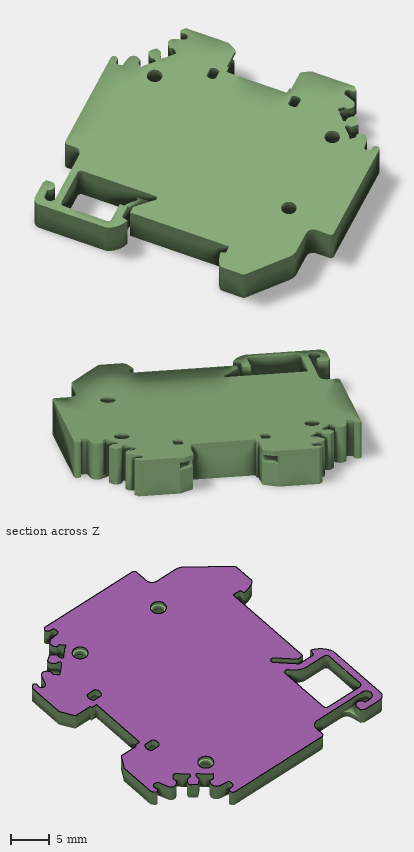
import cadquery as cq
import math

width = 38.0
height = 34.0
thickness = 5.0
half_width = width / 2

shoulder_y = 10.45
shoulder_corner = 0.25
tower_notch_y = 29.53
notch_step_y = 30.32
notch_half_width = 4.3
notch_step = 0.25
lobe_bevel_x = 1.3
lobe_bevel_y = 0.75
lobe_wall_x = notch_half_width + notch_step
lobe_lower_setback = 0.38
pocket_bottom_y = 32.25
pocket_floor_z = 3.23
pocket_top_z = 4.35

foot_half_width = 15.7
neck_left_x = -16.45
flare_radius = 1.0
rail_y = 3.5
rail_left_x = -6.65
rail_right_x = 7.37
catch_y = 2.4

clip_corner = 1.0
hook_slot_radius = 0.75
hook_slot_center_y = 1.8
hook_tip_radius = 0.7
hook_tip_center_y = 3.35
arm_inner_x = -8.45
arm_outer_x = -7.35
arm_step_y = 4.2
gap_radius = 0.36
gap_end_x = -4.7
gap_end_y = 6.9
window_left_x = -15.5
window_bottom_y = 1.03
window_top_y = 7.25
window_corner = 0.5
arm_web_top_z = 3.42
hook_web_thickness = 0.9

hole_diameter = 2.0
hole_depth = 3.8
hole_bottom_diameter = 1.55
hole_step_depth = 3.05
hole_centers = [(-12.58, 25.25), (12.58, 25.25), (12.0, 12.35)]
slot_x = 5.78
slot_y = 28.6
slot_width = 1.3
slot_length = 1.8
slot_depth = 3.8
ledge_thickness = 0.23

diagonal = math.sqrt(0.5)


def mirrored_pair(left_solid):
    """Join a left-hand solid with its mirror image about X = 0."""
    return left_solid.union(left_solid.mirror("YZ"))


def make_head():
    """Wide upper body with marker teeth on both sloping shoulders."""
    left = (
        cq.Workplane("XY")
        .moveTo(0, shoulder_y)
        .lineTo(-half_width + shoulder_corner, shoulder_y)
        .lineTo(-half_width, shoulder_y + shoulder_corner)
        .lineTo(-half_width, 25.73)
        .threePointArc((-18.5, 26.2), (-18.05, 25.8))
        .lineTo(-18.05, 25.42)
        .tangentArcPoint((-17.75, 25.08), relative=False)
        .lineTo(-17.35, 25.08)
        .tangentArcPoint((-17.05, 25.45), relative=False)
        .lineTo(-16.9, 26.52)
        .threePointArc((-16.25, 27.2), (-15.55, 27.05))
        .lineTo(-14.5, 26.25)
        .lineTo(-13.35, 27.47)
        .threePointArc((-13.75, 27.75), (-14.2, 27.7))
        .lineTo(-14.75, 28.27)
        .threePointArc((-14.85, 28.5), (-14.75, 28.75))
        .lineTo(-14.33, 29.35)
        .threePointArc((-14.15, 29.45), (-13.87, 29.4))
        .threePointArc((-13.38, 29.1), (-13.15, 28.7))
        .lineTo(-13.15, 28.35)
        .lineTo(-12.85, 28.2)
        .lineTo(-11.7, 29.4)
        .lineTo(-12.92, 30.5)
        .threePointArc((-13.15, 31.25), (-12.6, 31.75))
        .lineTo(-11.48, 32.2)
        .threePointArc((-11.15, 32.7), (-11.6, 33.15))
        .lineTo(-11.97, 33.05)
        .threePointArc((-12.27, 33.17), (-12.43, 33.48))
        .lineTo(-11.95, height)
        .lineTo(-lobe_wall_x - lobe_bevel_x, height)
        .lineTo(-lobe_wall_x, height - lobe_bevel_y)
        .lineTo(-lobe_wall_x, notch_step_y)
        .lineTo(-notch_half_width, notch_step_y)
        .lineTo(-notch_half_width, tower_notch_y)
        .lineTo(0, tower_notch_y)
        .close()
        .extrude(thickness)
    )
    return mirrored_pair(left)


def make_foot():
    """Lower body: hook, sprung clip, rail seat and fixed catch."""
    flare_inset = flare_radius * (1 - diagonal)
    flare_y = shoulder_y - flare_radius
    hook_slot_left_x = neck_left_x - 2 * hook_slot_radius
    gap_side = gap_radius * diagonal
    gap_slope_y = gap_end_y - gap_end_x
    gap_rise = gap_radius / diagonal
    return (
        cq.Workplane("XY")
        .moveTo(neck_left_x - flare_radius, shoulder_y)
        .threePointArc((neck_left_x - flare_inset, shoulder_y - flare_inset), (neck_left_x, flare_y))
        .lineTo(neck_left_x, hook_slot_center_y)
        .threePointArc(
            (neck_left_x - hook_slot_radius, hook_slot_center_y - hook_slot_radius),
            (hook_slot_left_x, hook_slot_center_y),
        )
        .lineTo(hook_slot_left_x, hook_tip_center_y - hook_tip_radius)
        .threePointArc(
            (hook_slot_left_x + hook_tip_radius, hook_tip_center_y),
            (hook_slot_left_x, hook_tip_center_y + hook_tip_radius),
        )
        .lineTo(-18.7, hook_tip_center_y + hook_tip_radius)
        .lineTo(-half_width, 3.5)
        .lineTo(-half_width, clip_corner)
        .tangentArcPoint((-half_width + clip_corner, 0), relative=False)
        .lineTo(-8.5, 0)
        .threePointArc((-7.4, 0.65), (-6.6, 1.7))
        .lineTo(-6.45, 2.15)
        .lineTo(arm_outer_x, catch_y)
        .lineTo(arm_outer_x, arm_outer_x + gap_slope_y + gap_rise)
        .lineTo(gap_end_x - gap_side, gap_end_y + gap_side)
        .threePointArc(
            (gap_end_x + gap_side, gap_end_y + gap_side),
            (gap_end_x + gap_side, gap_end_y - gap_side),
        )
        .lineTo(rail_left_x, rail_left_x + gap_slope_y - gap_rise)
        .lineTo(rail_left_x, rail_y)
        .lineTo(rail_right_x, rail_y)
        .lineTo(rail_right_x, catch_y)
        .lineTo(6.73, 2.2)
        .threePointArc((6.95, 1.2), (7.37, 0.3))
        .threePointArc((7.55, 0.1), (7.83, 0))
        .lineTo(10.7, 0)
        .tangentArcPoint((11.1, 0.15), relative=False)
        .lineTo(15.0, 4.83)
        .threePointArc((15.45, 5.45), (foot_half_width, 6.2))
        .lineTo(foot_half_width, flare_y)
        .threePointArc(
            (foot_half_width + flare_inset, shoulder_y - flare_inset),
            (foot_half_width + flare_radius, shoulder_y),
        )
        .close()
        .extrude(thickness)
    )


def make_clip_window():
    """Through opening between the foot and the sprung arm."""
    window = (
        cq.Workplane("XY")
        .moveTo(window_left_x, window_bottom_y)
        .lineTo(arm_inner_x, window_bottom_y)
        .lineTo(arm_inner_x, window_top_y)
        .lineTo(window_left_x, window_top_y)
        .close()
        .extrude(thickness)
        .edges("|Z")
        .fillet(window_corner)
    )
    throat_left_x = arm_inner_x - window_corner
    throat = (
        cq.Workplane("XY")
        .moveTo(throat_left_x, 4.7)
        .lineTo(arm_inner_x, 4.7)
        .threePointArc((-7.98, 5.8), (-7.2, 6.65))
        .threePointArc((-7.1, 7.0), (-7.37, window_top_y))
        .lineTo(throat_left_x, window_top_y)
        .close()
        .extrude(thickness)
    )
    return window.union(throat)


def make_arm_relief():
    """Space above the thinner web that joins the arm to the foot."""
    corners = [
        (arm_inner_x, arm_step_y),
        (arm_outer_x, arm_step_y),
        (arm_outer_x, gap_end_y - gap_end_x + arm_outer_x),
        (gap_end_x, gap_end_y),
        (gap_end_x, window_top_y),
        (arm_inner_x, window_top_y),
    ]
    return (
        cq.Workplane("XY", origin=(0, 0, arm_web_top_z))
        .polyline(corners)
        .close()
        .extrude(thickness - arm_web_top_z)
    )


def make_hook_web():
    """Thin floor that closes the hook slot at the back."""
    return (
        cq.Workplane("XY")
        .moveTo(neck_left_x, 5.25)
        .threePointArc((-16.65, 4.7), (-17.15, 4.35))
        .lineTo(-18.5, hook_tip_center_y + hook_tip_radius)
        .lineTo(-18.5, clip_corner)
        .lineTo(neck_left_x, window_bottom_y / 2)
        .close()
        .extrude(hook_web_thickness)
    )


def make_marker_recesses():
    """Undercuts in the tooth flanks, open above a thin ledge."""
    lower_flank = [(-15.3, 26.95), (-14.5, 26.25), (-14.8, 25.8), (-15.4, 26.37)]
    upper_flank = [(-12.58, 30.25), (-11.7, 29.4), (-11.45, 29.75), (-12.0, 30.32)]
    left = cq.Workplane("XY")
    for corners in (lower_flank, upper_flank):
        recess = (
            cq.Workplane("XY", origin=(0, 0, ledge_thickness))
            .polyline(corners)
            .close()
            .extrude(thickness - ledge_thickness)
        )
        left = left.add(recess)
    return mirrored_pair(left.combine())


def make_lobe_pockets():
    """Pocket in each inner lobe corner, with a lower bevel below it."""
    bevel_slope = lobe_bevel_y / lobe_bevel_x
    corner_y = height - lobe_bevel_y - lobe_lower_setback
    depth = (height - corner_y) / bevel_slope
    outer_x = -lobe_wall_x - depth
    pocket = (
        cq.Workplane("XY", origin=(0, 0, pocket_floor_z))
        .moveTo(-lobe_wall_x, pocket_bottom_y)
        .lineTo(outer_x, pocket_bottom_y)
        .lineTo(outer_x, height)
        .lineTo(-lobe_wall_x, height)
        .close()
        .extrude(pocket_top_z - pocket_floor_z)
    )
    lower_bevel = (
        cq.Workplane("XY")
        .polyline([(-lobe_wall_x, corner_y), (outer_x, height), (-lobe_wall_x, height)])
        .close()
        .extrude(pocket_floor_z)
    )
    return mirrored_pair(pocket.union(lower_bevel))


def make_round_holes():
    """Blind round holes, each with a narrower bottom step."""
    mouth = cq.Workplane("XY", origin=(0, 0, thickness)).pushPoints(hole_centers)
    wide = mouth.circle(hole_diameter / 2).extrude(-hole_step_depth)
    narrow = mouth.circle(hole_bottom_diameter / 2).extrude(-hole_depth)
    return wide.union(narrow)


def make_test_slots():
    """Blind slots: a round hole trimmed by two flat sides."""
    centers = [(-slot_x, slot_y), (slot_x, slot_y)]
    mouth = cq.Workplane("XY", origin=(0, 0, thickness)).pushPoints(centers)
    round_hole = mouth.circle(slot_length / 2).extrude(-slot_depth)
    flat_sides = mouth.rect(slot_width, slot_length).extrude(-slot_depth)
    return round_hole.intersect(flat_sides)


result = (
    make_head()
    .union(make_foot())
    .cut(make_clip_window())
    .cut(make_arm_relief())
    .union(make_hook_web())
    .cut(make_lobe_pockets())
    .cut(make_marker_recesses())
    .cut(make_round_holes())
    .cut(make_test_slots())
)